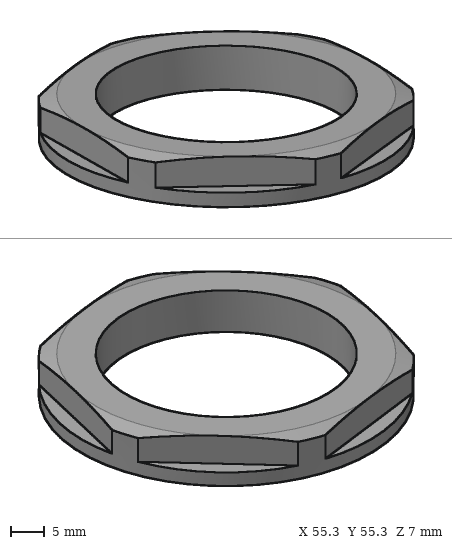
import cadquery as cq
import math

outer_diameter = 55.3
total_height = 7.0
flange_height = 2.3
across_flats = 50.0
bore_diameter = 38.5
top_face_diameter = 50.0
chamfer_angle = 15.0

outer_radius = outer_diameter / 2
top_face_radius = top_face_diameter / 2
across_corners = across_flats / math.cos(math.radians(30))
chamfer_drop = (outer_radius - top_face_radius) * math.tan(math.radians(chamfer_angle))


def turned_blank():
    """Ring with a conical chamfer around its top face."""
    profile = [
        (bore_diameter / 2, 0),
        (outer_radius, 0),
        (outer_radius, total_height - chamfer_drop),
        (top_face_radius, total_height),
        (bore_diameter / 2, total_height),
    ]
    return cq.Workplane("XZ").polyline(profile).close().revolve(360, (0, 0), (0, 1))


def wrench_envelope():
    """Round flange below a hexagon with corners on the X axis."""
    flange = cq.Workplane("XY").circle(outer_radius).extrude(flange_height)
    hexagon = cq.Workplane("XY").polygon(6, across_corners).extrude(total_height)
    return flange.union(hexagon)


result = turned_blank().intersect(wrench_envelope())